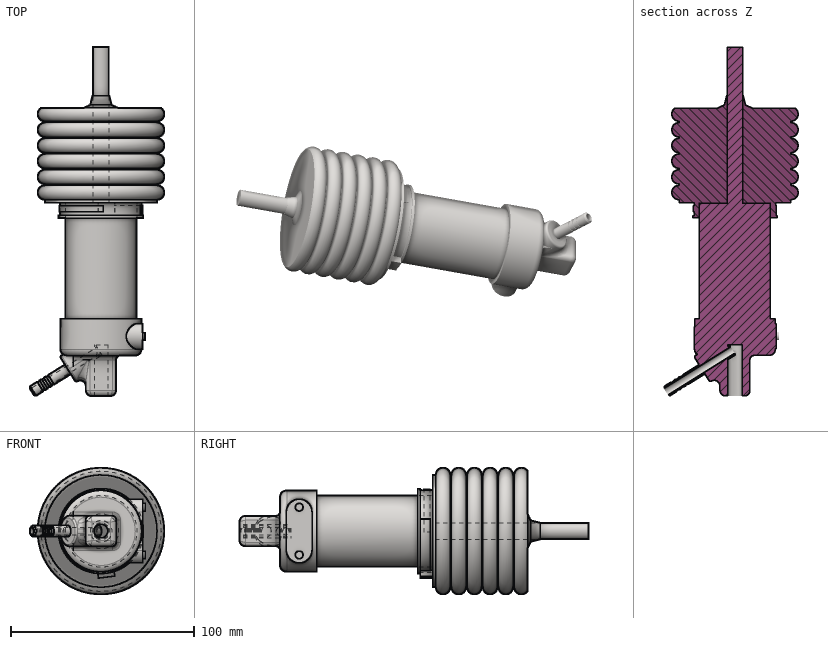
import cadquery as cq
import math

OVERALL_LENGTH = 190.37
OUTER_DIAMETER = 69.17

ROD_RADIUS = 4.4
TUBE_RADIUS = 19.5
CAP_RADIUS = 22.2
CAP_FRONT = 22.1
CAP_REAR = 42.3
CAP_FILLET = 3.6

LUG_WIDTH = 16.6
LUG_EDGE_FILLET = 2.2
LUG_END_FILLET = 3.3
LUG_HOLE_DIAMETER = 7.5
LUG_HOLE_DEPTH = 28.0
BASE_FILLET = 2.3
FOOT_DEPTH = 1.0
FOOT_MARGIN = 0.05

SEAM_MARGIN = 0.05

NOZZLE_ANGLE = 32.0
NOZZLE_ORIGIN_Y = 25.9
WEB_LENGTH = 15.2
BOSS_RADIUS = LUG_WIDTH / 2
BOSS_LENGTH = 21.3
BOSS_FILLET = 1.0
BOSS_LUG_FILLET = 3.0
NOZZLE_RADIUS = 3.1
NOZZLE_INNER_END = 1.45
NOZZLE_LENGTH = 44.385
NOZZLE_CHAMFER = 0.8
NOZZLE_BORE_DIAMETER = 4.0
GROOVE_COUNT = 3
GROOVE_PITCH = 2.8
GROOVE_WIDTH = GROOVE_PITCH / 2
GROOVE_DEPTH = 0.3
GROOVE_START = 32.0

PAD_FACE_X = 22.8
PAD_HEIGHT = 34.8
PAD_WIDTH = 14.0
PAD_CENTRE_Y = 32.6
PIN_DIAMETER = 4.2
PIN_LENGTH = 1.3
PIN_OFFSET = 13.0

BOOT_FRONT = 105.4
BOOT_REAR = 157.1
BELLOWS_RADIUS = 30.6
RING_COUNT = 6
RING_PITCH = 8.55
RING_RADIUS = OUTER_DIAMETER / 2 - BELLOWS_RADIUS
FIRST_RING_Y = 111.0
NECK_BASE_RADIUS = 5.9
NECK_TOP_RADIUS = 4.6
NECK_BASE_Y = 158.8
NECK_END_Y = 163.9
NECK_FOOT_RADIUS = 9.5

COLLAR_RADIUS = 22.4
COLLAR_FRONT = 97.1
RIM_RADIUS = 23.2
RIM_WIDTH = 1.4
STRAP_RADIUS = 22.8
UPPER_STRAP_FRONT = 100.5
UPPER_STRAP_REAR = 103.9
UPPER_STRAP_START = 87.0
UPPER_STRAP_SWEEP = 94.0
LOWER_STRAP_FRONT = COLLAR_FRONT + RIM_WIDTH
LOWER_STRAP_REAR = 104.0
LOWER_STRAP_START = -90.0
LOWER_STRAP_SWEEP = 107.0
TAB_ANGLE = 7.0
TAB_WIDTH = 9.0
TAB_RADIUS = 25.3


def revolve(points):
    """Turn an outline of (radius, y) points about the Y axis."""
    return cq.Workplane("XY").polyline(points).close().revolve(360, (0, 0, 0), (0, 1, 0))


def rod_along_y(radius, start, end):
    return cq.Workplane("XZ", origin=(0, start, 0)).circle(radius).extrude(start - end)


def nozzle_axis_plane(distance):
    """A plane across the nozzle axis, facing outward, at a distance from the axis origin."""
    angle = math.radians(NOZZLE_ANGLE)
    direction = (-math.cos(angle), -math.sin(angle), 0)
    origin = (direction[0] * distance, NOZZLE_ORIGIN_Y + direction[1] * distance, 0)
    return cq.Plane(origin=origin, xDir=(0, 0, 1), normal=direction)


def rod_along_nozzle(radius, start, end):
    return cq.Workplane(nozzle_axis_plane(start)).circle(radius).extrude(end - start)


def make_cap():
    cap = rod_along_y(CAP_RADIUS, CAP_FRONT, CAP_REAR)
    cap = cap.faces("<Y").edges().fillet(CAP_FILLET)
    lug = (
        cq.Workplane("XZ", origin=(0, CAP_FRONT, 0))
        .rect(LUG_WIDTH, LUG_WIDTH)
        .extrude(CAP_FRONT)
        .edges("|Y")
        .fillet(LUG_EDGE_FILLET)
        .faces("<Y")
        .edges()
        .fillet(LUG_END_FILLET)
    )
    boss = rod_along_nozzle(BOSS_RADIUS, 0, BOSS_LENGTH)
    rim = cq.selectors.DirectionMinMaxSelector(nozzle_axis_plane(0).zDir)
    boss = boss.faces(rim).edges().fillet(BOSS_FILLET)
    body = cap.union(make_foot()).union(lug).union(make_web()).union(boss)
    seam = cq.selectors.BoxSelector(
        (-LUG_WIDTH / 2 - SEAM_MARGIN, LUG_END_FILLET + SEAM_MARGIN, -SEAM_MARGIN),
        (-LUG_WIDTH / 2 + SEAM_MARGIN, CAP_FRONT, SEAM_MARGIN),
    )
    return body.edges(seam).edges("%ELLIPSE").fillet(BOSS_LUG_FILLET)


def make_web():
    """Fills the space between the nozzle boss and the cap, flush with the lug sides."""
    end_y = NOZZLE_ORIGIN_Y - WEB_LENGTH * math.tan(math.radians(NOZZLE_ANGLE))
    return (
        cq.Workplane("XY", origin=(0, 0, -LUG_WIDTH / 2))
        .polyline([(0, CAP_FRONT), (-WEB_LENGTH, CAP_FRONT), (-WEB_LENGTH, end_y), (0, NOZZLE_ORIGIN_Y)])
        .close()
        .extrude(LUG_WIDTH)
    )


def make_foot():
    """Low base that blends the lug and the web into the cap face."""
    flare = LUG_WIDTH / 2 + BASE_FILLET + FOOT_MARGIN
    plate = cq.Workplane("XY").box(flare + WEB_LENGTH, FOOT_DEPTH, 2 * flare)
    plate = plate.translate(((flare - WEB_LENGTH) / 2, CAP_FRONT + FOOT_DEPTH / 2, 0))
    block = cq.Workplane("XY").box(LUG_WIDTH / 2 + WEB_LENGTH, BASE_FILLET, LUG_WIDTH)
    block = block.translate(((LUG_WIDTH / 2 - WEB_LENGTH) / 2, CAP_FRONT - BASE_FILLET / 2, 0))
    block = block.edges("|Y and >X").fillet(LUG_EDGE_FILLET)
    foot = plate.union(block)
    inside = LUG_WIDTH / 2 + FOOT_MARGIN / 2
    seam = cq.selectors.BoxSelector(
        (SEAM_MARGIN - WEB_LENGTH, CAP_FRONT - SEAM_MARGIN, -inside),
        (inside, CAP_FRONT + SEAM_MARGIN, inside),
    )
    return foot.edges(seam).fillet(BASE_FILLET - FOOT_MARGIN)


def make_pad():
    pad = (
        cq.Workplane("YZ")
        .center(PAD_CENTRE_Y, 0)
        .slot2D(PAD_HEIGHT, PAD_WIDTH, 90)
        .extrude(PAD_FACE_X)
    )
    pins = (
        cq.Workplane("YZ", origin=(PAD_FACE_X, PAD_CENTRE_Y, 0))
        .pushPoints([(0, -PIN_OFFSET), (0, PIN_OFFSET)])
        .circle(PIN_DIAMETER / 2)
        .extrude(PIN_LENGTH)
    )
    return pad.union(pins)


def make_nozzle():
    nozzle = rod_along_nozzle(NOZZLE_RADIUS, NOZZLE_INNER_END, NOZZLE_LENGTH)
    nozzle = nozzle.faces("<X").edges().chamfer(NOZZLE_CHAMFER)
    for index in range(GROOVE_COUNT):
        start = GROOVE_START + index * GROOVE_PITCH
        groove = rod_along_nozzle(2 * NOZZLE_RADIUS, start, start + GROOVE_WIDTH).cut(
            rod_along_nozzle(NOZZLE_RADIUS - GROOVE_DEPTH, start, start + GROOVE_WIDTH)
        )
        nozzle = nozzle.cut(groove)
    return nozzle


def make_cylinder():
    body = make_cap().union(make_pad())
    body = body.union(rod_along_y(TUBE_RADIUS, CAP_REAR - CAP_FILLET, BOOT_FRONT))
    body = body.union(rod_along_y(ROD_RADIUS, CAP_REAR, OVERALL_LENGTH))
    body = body.cut(rod_along_y(LUG_HOLE_DIAMETER / 2, 0, LUG_HOLE_DEPTH)).union(make_nozzle())
    return body.cut(rod_along_nozzle(NOZZLE_BORE_DIAMETER / 2, NOZZLE_INNER_END, NOZZLE_LENGTH))


def make_boot():
    outline = (
        cq.Workplane("XY")
        .moveTo(0, COLLAR_FRONT)
        .lineTo(RIM_RADIUS, COLLAR_FRONT)
        .lineTo(RIM_RADIUS, COLLAR_FRONT + RIM_WIDTH)
        .lineTo(COLLAR_RADIUS, COLLAR_FRONT + RIM_WIDTH)
        .lineTo(COLLAR_RADIUS, BOOT_FRONT)
        .lineTo(BELLOWS_RADIUS, BOOT_FRONT)
    )
    for index in range(RING_COUNT):
        middle = FIRST_RING_Y + index * RING_PITCH
        outline = outline.lineTo(BELLOWS_RADIUS, middle - RING_RADIUS).threePointArc(
            (BELLOWS_RADIUS + RING_RADIUS, middle), (BELLOWS_RADIUS, middle + RING_RADIUS)
        )
    body = outline.lineTo(0, FIRST_RING_Y + (RING_COUNT - 1) * RING_PITCH + RING_RADIUS).close()
    boot = body.revolve(360, (0, 0, 0), (0, 1, 0))
    boot = boot.cut(rod_along_y(BELLOWS_RADIUS + 2 * RING_RADIUS, BOOT_REAR, NECK_END_Y))
    neck = revolve(
        [
            (0, BOOT_REAR),
            (NECK_FOOT_RADIUS, BOOT_REAR),
            (NECK_BASE_RADIUS, NECK_BASE_Y),
            (NECK_TOP_RADIUS, NECK_END_Y),
            (0, NECK_END_Y),
        ]
    )
    boot = boot.union(neck).union(make_tab())
    boot = boot.union(
        make_strap(UPPER_STRAP_FRONT, UPPER_STRAP_REAR, UPPER_STRAP_START, UPPER_STRAP_SWEEP)
    )
    boot = boot.union(
        make_strap(LOWER_STRAP_FRONT, LOWER_STRAP_REAR, LOWER_STRAP_START, LOWER_STRAP_SWEEP)
    )
    boot = boot.cut(rod_along_y(TUBE_RADIUS, COLLAR_FRONT, BOOT_FRONT))
    return boot.cut(rod_along_y(ROD_RADIUS, BOOT_FRONT, NECK_END_Y))


def make_strap(front, rear, start_angle, sweep):
    """Raised sector of the collar; its angles run from +X towards +Z."""
    strap = (
        cq.Workplane("XY")
        .moveTo(TUBE_RADIUS, front)
        .lineTo(STRAP_RADIUS, front)
        .lineTo(STRAP_RADIUS, rear)
        .lineTo(TUBE_RADIUS, rear)
        .close()
        .revolve(sweep, (0, 0, 0), (0, -1, 0))
    )
    return strap.rotate((0, 0, 0), (0, 1, 0), -start_angle)


def make_tab():
    """Clip tab on the -Z side of the collar."""
    front = COLLAR_FRONT + RIM_WIDTH
    height = TAB_RADIUS - TUBE_RADIUS
    tab = cq.Workplane("XY").box(TAB_WIDTH, BOOT_FRONT - front, height)
    tab = tab.translate((0, (front + BOOT_FRONT) / 2, -TUBE_RADIUS - height / 2))
    return tab.rotate((0, 0, 0), (0, 1, 0), -TAB_ANGLE)


cylinder = make_cylinder()
boot = make_boot()
result = cq.Compound.makeCompound([cylinder.solids().val(), boot.solids().val()])